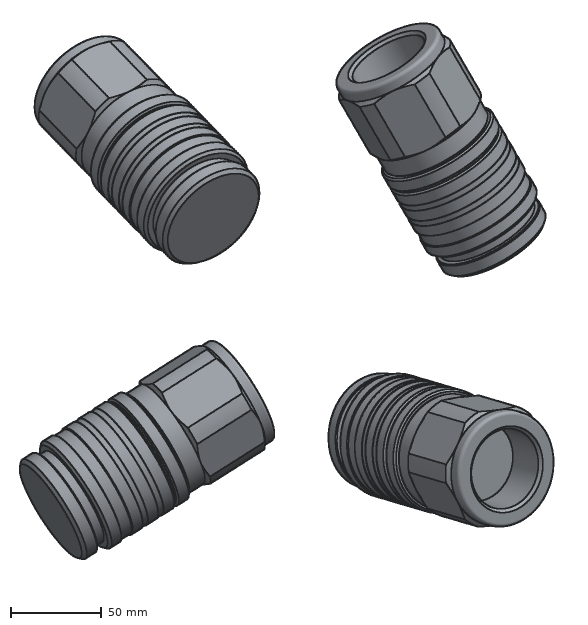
import cadquery as cq

LENGTH = 128.8
SLEEVE_DIAMETER = 70.0
SLEEVE_RADIUS = SLEEVE_DIAMETER / 2
BODY_RADIUS = 32.6

RIM_FILLET = 2.0
BORE_RADIUS = 22.5
BORE_CHAMFER = 1.8
BORE_DEPTH = 26.7

HEX_ACROSS_FLATS = 2 * BODY_RADIUS
HEX_TURN = 30
HEX_START = 7.0
HEX_END = 47.5
HEX_CONE_LENGTH = 2.0
HEX_STEP = 0.8

NECK_END = 58.9
NECK_CHAMFER = 0.8

SLEEVE_END = 113.3
SLEEVE_START_CHAMFER = 1.2
SLEEVE_END_CHAMFER = 1.7

SNAP_GROOVE_START = 66.7
SNAP_GROOVE_END = 68.7
SNAP_GROOVE_SLOPE = 0.8
SNAP_GROOVE_DEPTH = 1.5

GRIP_GROOVES = [
    (76.8, 80.4, 0.32, 0),
    (87.3, 90.8, 0.32, 0),
    (97.5, 105.2, 0.8, 0.4),
]

END_GROOVE_RADIUS = 29.8
FLANGE_START = 118.9
FLANGE_WALL_SLOPE = 0.4
FLANGE_START_CHAMFER = 0.6
FLANGE_END_CHAMFER = 2.0


def revolve_about_x(points):
    """Revolve a closed (x, radius) outline about the X axis."""
    return cq.Workplane("XZ").polyline(points).close().revolve(360, (0, 0, 0), (1, 0, 0))


def make_body():
    """Round body from the rounded rim to the chamfered end of the neck."""
    body = revolve_about_x([
        (0, 0),
        (0, BODY_RADIUS),
        (NECK_END - NECK_CHAMFER, BODY_RADIUS),
        (NECK_END, BODY_RADIUS - NECK_CHAMFER),
        (NECK_END, 0),
    ])
    return body.faces("<X").edges().fillet(RIM_FILLET)


def make_hexagon():
    """Hexagon with its corners turned to the sleeve radius and coned at both ends.

    Each cone finishes in a short 45-degree step down to the body.
    """
    hexagon = (
        cq.Workplane("YZ", origin=(HEX_START, 0, 0))
        .transformed(rotate=(0, 0, HEX_TURN))
        .polygon(6, HEX_ACROSS_FLATS, circumscribed=True)
        .extrude(HEX_END - HEX_START)
    )
    step_radius = BODY_RADIUS + HEX_STEP
    turned_blank = revolve_about_x([
        (HEX_START, 0),
        (HEX_START, BODY_RADIUS),
        (HEX_START + HEX_STEP, step_radius),
        (HEX_START + HEX_CONE_LENGTH, SLEEVE_RADIUS),
        (HEX_END - HEX_CONE_LENGTH, SLEEVE_RADIUS),
        (HEX_END - HEX_STEP, step_radius),
        (HEX_END, BODY_RADIUS),
        (HEX_END, 0),
    ])
    return hexagon.intersect(turned_blank)


def make_sleeve():
    """Locking sleeve with chamfered ends, a snap groove and shallow grip grooves."""
    snap_floor_radius = SLEEVE_RADIUS - SNAP_GROOVE_DEPTH
    chamfer_radius = SLEEVE_RADIUS - SLEEVE_START_CHAMFER
    outline = [
        (NECK_END, 0),
        (NECK_END, chamfer_radius),
        (NECK_END + SLEEVE_START_CHAMFER, SLEEVE_RADIUS),
        (SNAP_GROOVE_START, SLEEVE_RADIUS),
        (SNAP_GROOVE_START + SNAP_GROOVE_SLOPE, snap_floor_radius),
        (SNAP_GROOVE_END, snap_floor_radius),
        (SNAP_GROOVE_END, chamfer_radius),
        (SNAP_GROOVE_END + SLEEVE_START_CHAMFER, SLEEVE_RADIUS),
    ]
    for start, end, depth, slope in GRIP_GROOVES:
        floor_radius = SLEEVE_RADIUS - depth
        outline += [
            (start, SLEEVE_RADIUS),
            (start + slope, floor_radius),
            (end - slope, floor_radius),
            (end, SLEEVE_RADIUS),
        ]
    outline += [
        (SLEEVE_END - SLEEVE_END_CHAMFER, SLEEVE_RADIUS),
        (SLEEVE_END, SLEEVE_RADIUS - SLEEVE_END_CHAMFER),
        (SLEEVE_END, 0),
    ]
    return revolve_about_x(outline)


def make_flange():
    """End groove core and the flange, which has a sloped wall and two chamfered rims."""
    chamfer_start = FLANGE_START + FLANGE_WALL_SLOPE
    return revolve_about_x([
        (SLEEVE_END, 0),
        (SLEEVE_END, END_GROOVE_RADIUS),
        (FLANGE_START, END_GROOVE_RADIUS),
        (chamfer_start, BODY_RADIUS - FLANGE_START_CHAMFER),
        (chamfer_start + FLANGE_START_CHAMFER, BODY_RADIUS),
        (LENGTH - FLANGE_END_CHAMFER, BODY_RADIUS),
        (LENGTH, BODY_RADIUS - FLANGE_END_CHAMFER),
        (LENGTH, 0),
    ])


def make_bore():
    """Blind bore from X = 0 with a chamfered mouth."""
    return revolve_about_x([
        (0, 0),
        (0, BORE_RADIUS + BORE_CHAMFER),
        (BORE_CHAMFER, BORE_RADIUS),
        (BORE_DEPTH, BORE_RADIUS),
        (BORE_DEPTH, 0),
    ])


result = (
    make_body()
    .union(make_hexagon())
    .union(make_sleeve())
    .union(make_flange())
    .cut(make_bore())
)